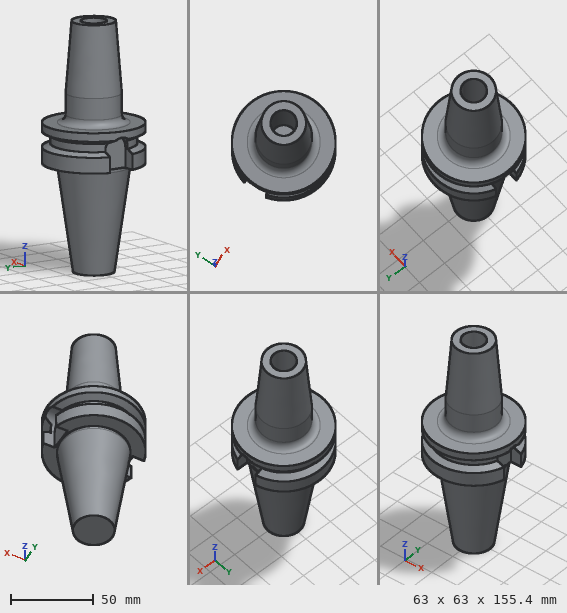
import cadquery as cq

taper_top = 65.5
flange_bottom = 67.5
lower_rim_top = 77.2
groove_bottom = 79.5
groove_top = 84.7
upper_rim_bottom = 87.2
flange_top = 92.5
nose_start = 110.8
total_height = 155.4

flange_radius = 63.0 / 2
groove_radius = 26.4
gauge_radius = 22.2
taper_slope = 7 / 48
taper_end_radius = gauge_radius - taper_slope * taper_top
neck_radius = 17.1
neck_fillet = 5.0
nose_radius = 13.5

bore_radius = 8.0
bore_depth = 49.7

slot_width = 16.2
slot_floor = 22.5
slot_top = 88.6


def turned_body():
    """Taper shank, grooved flange, filleted neck and conical nose."""
    return (
        cq.Workplane("XZ")
        .lineTo(taper_end_radius, 0)
        .lineTo(gauge_radius, taper_top)
        .lineTo(gauge_radius, flange_bottom)
        .lineTo(flange_radius, flange_bottom)
        .lineTo(flange_radius, lower_rim_top)
        .lineTo(groove_radius, groove_bottom)
        .lineTo(groove_radius, groove_top)
        .lineTo(flange_radius, upper_rim_bottom)
        .lineTo(flange_radius, flange_top)
        .lineTo(neck_radius + neck_fillet, flange_top)
        .radiusArc((neck_radius, flange_top + neck_fillet), neck_fillet)
        .lineTo(neck_radius, nose_start)
        .lineTo(nose_radius, total_height)
        .lineTo(0, total_height)
        .close()
        .revolve(360, (0, 0, 0), (0, 1, 0))
    )


def tool_bore():
    """Blind bore down from the nose face."""
    return (
        cq.Workplane("XY", origin=(0, 0, total_height))
        .circle(bore_radius)
        .extrude(-bore_depth)
    )


def drive_slot(side):
    """Round-topped slot, open at the flange underside; side is +1 or -1."""
    half_width = slot_width / 2
    arc_start = slot_top - half_width
    return (
        cq.Workplane("YZ", origin=(side * slot_floor, 0, 0))
        .moveTo(-half_width, flange_bottom)
        .lineTo(-half_width, arc_start)
        .threePointArc((0, slot_top), (half_width, arc_start))
        .lineTo(half_width, flange_bottom)
        .close()
        .extrude(side * flange_radius)
    )


result = turned_body().cut(tool_bore())
for slot_side in (-1, 1):
    result = result.cut(drive_slot(slot_side))